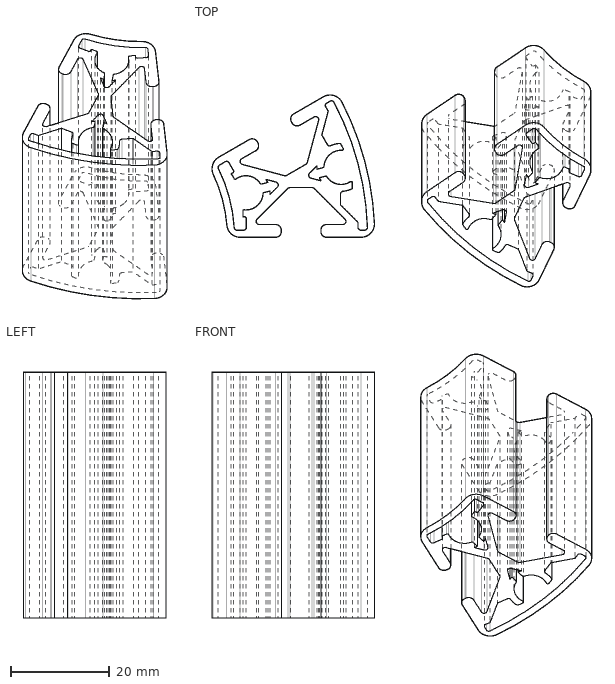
import cadquery as cq
import math

LENGTH = 50.0
SECTOR_ANGLE = 30.0
MIDDLE_ANGLE = SECTOR_ANGLE / 2
INNER_RADIUS = 30.0
OUTER_RADIUS = 60.0
MIDDLE_RADIUS = (INNER_RADIUS + OUTER_RADIUS) / 2
CORNER_RADIUS = 2.75
WALL = 1.5

SLOT_WIDTH = 8.0
LIP_THICKNESS = 2.65
LIP_ROUND = 1.2
CAVITY_DEPTH = 10.1
CAVITY_TOP_WIDTH = 5.0
CAVITY_FILLET = 0.6

CUP_OFFSET = 10.0
CUP_BORE_RADIUS = 3.45
CUP_OUTER_RADIUS = 4.9
CUP_GAP = 1.75
INNER_CUP_TIP_X = 33.15
OUTER_CUP_TIP_X = 55.45
CUP_EDGE_ROUND = 0.3
INNER_CUP_ROOT_FILLET = 0.3
OUTER_CUP_ROOT_FILLET = 0.5

NOTCH_OFFSET = 2.65
NOTCH_HALF_ANGLE = 30.0
NOTCH_FILLET = 0.6

INNER_CHAMBER_WALL_X = 33.85
OUTER_CHAMBER_WALL_X = 53.05
OUTER_CHAMBER_END_X = 56.6
OUTER_WEB_SHIFT = 2.05
CHAMBER_FILLET = 0.5

MIDDLE_SLOPE = math.tan(math.radians(MIDDLE_ANGLE))


def on_circle(radius, angle):
    """Point at a radius and an angle in degrees about the origin."""
    turn = math.radians(angle)
    return (radius * math.cos(turn), radius * math.sin(turn))


def across_middle(point):
    """Mirror image of a point in the middle line."""
    x, y = point
    return on_circle(math.hypot(x, y), SECTOR_ANGLE - math.degrees(math.atan2(y, x)))


def on_middle(x):
    """Point of the middle line at a given x."""
    return (x, x * MIDDLE_SLOPE)


def mirrored(solid):
    """Mirror image of a solid in the middle line."""
    return solid.mirror("XZ").rotate((0, 0, 0), (0, 0, 1), SECTOR_ANGLE)


def prism(points):
    return cq.Workplane("XY").polyline(points).close().extrude(LENGTH)


def upright_edges_at(points, reach=0.025):
    """Selector for the edges parallel to Z through the given points."""
    boxes = [
        cq.selectors.BoxSelector((x - reach, y - reach, 0), (x + reach, y + reach, LENGTH))
        for x, y in points
    ]
    selector = boxes[0]
    for box in boxes[1:]:
        selector = selector + box
    return selector


def make_body():
    return (
        cq.Workplane("XY")
        .moveTo(INNER_RADIUS, 0)
        .lineTo(OUTER_RADIUS, 0)
        .threePointArc(on_circle(OUTER_RADIUS, MIDDLE_ANGLE), on_circle(OUTER_RADIUS, SECTOR_ANGLE))
        .lineTo(*on_circle(INNER_RADIUS, SECTOR_ANGLE))
        .threePointArc(on_circle(INNER_RADIUS, MIDDLE_ANGLE), (INNER_RADIUS, 0))
        .close()
        .extrude(LENGTH)
        .edges("|Z")
        .fillet(CORNER_RADIUS)
    )


def cut_t_slot(body):
    """Cut the slot of the Y = 0 face, with 45-degree cavity sides and rounded lips."""
    half_slot = SLOT_WIDTH / 2
    half_top = CAVITY_TOP_WIDTH / 2
    half_cavity = half_top + CAVITY_DEPTH - LIP_THICKNESS
    half_outline = [
        (half_slot, 0),
        (half_slot, LIP_THICKNESS),
        (half_cavity, LIP_THICKNESS),
        (half_top, CAVITY_DEPTH),
    ]
    right = [(MIDDLE_RADIUS + x, y) for x, y in half_outline]
    left = [(MIDDLE_RADIUS - x, y) for x, y in half_outline]
    slot = prism(right + left[::-1])
    slot = slot.edges(upright_edges_at(right[2:] + left[2:])).fillet(CAVITY_FILLET)
    lip_edges = upright_edges_at(right[:2] + left[:2])
    return body.cut(slot).edges(lip_edges).fillet(LIP_ROUND)


def make_chamber(wall_radius, half_outline):
    """Chamber from its lower points, which run from the cylindrical wall to the middle line."""
    upper = [across_middle(point) for point in half_outline[:-1]]
    rounded = half_outline[:2] + upper[:2]
    return (
        cq.Workplane("XY")
        .polyline(half_outline + upper[::-1])
        .threePointArc(on_circle(wall_radius, MIDDLE_ANGLE), half_outline[0])
        .close()
        .extrude(LENGTH)
        .edges(upright_edges_at(rounded))
        .fillet(CHAMBER_FILLET)
    )


def make_inner_chamber():
    wall_radius = INNER_RADIUS + WALL
    return make_chamber(
        wall_radius,
        [
            (math.sqrt(wall_radius**2 - WALL**2), WALL),
            (INNER_CHAMBER_WALL_X, WALL),
            on_middle(INNER_CHAMBER_WALL_X),
        ],
    )


def make_outer_chamber():
    wall_radius = OUTER_RADIUS - WALL
    web_sum = MIDDLE_RADIUS + CAVITY_TOP_WIDTH / 2 + CAVITY_DEPTH + OUTER_WEB_SHIFT
    return make_chamber(
        wall_radius,
        [
            (math.sqrt(wall_radius**2 - WALL**2), WALL),
            (OUTER_CHAMBER_END_X, WALL),
            (OUTER_CHAMBER_END_X, web_sum - OUTER_CHAMBER_END_X),
            (OUTER_CHAMBER_WALL_X, web_sum - OUTER_CHAMBER_WALL_X),
            on_middle(OUTER_CHAMBER_WALL_X),
        ],
    )


def disc(centre, radius):
    return cq.Workplane("XY").center(*centre).circle(radius).extrude(LENGTH)


def make_notch(side):
    """V notch with its tip near the middle radius, opening toward a cup (side -1 in, +1 out)."""
    tip = MIDDLE_RADIUS + side * NOTCH_OFFSET
    mouth = MIDDLE_RADIUS + side * CUP_OFFSET
    half_mouth = (CUP_OFFSET - NOTCH_OFFSET) * math.tan(math.radians(NOTCH_HALF_ANGLE))
    notch = prism([(tip, 0), (mouth, half_mouth), (mouth, -half_mouth)])
    notch = notch.edges(upright_edges_at([(tip, 0)])).fillet(NOTCH_FILLET)
    return notch.rotate((0, 0, 0), (0, 0, 1), MIDDLE_ANGLE)


def below_centre(centre, radius, x):
    """Point at a given x on the lower half of a circle."""
    return (x, centre[1] - math.sqrt(radius**2 - (x - centre[0]) ** 2))


def cup_centre(side):
    """Centre of the inner (side -1) or outer (side +1) cup."""
    return on_circle(MIDDLE_RADIUS + side * CUP_OFFSET, MIDDLE_ANGLE)


def fillet_pairs(body, points, radius):
    """Fillet the upright edges at the given points and at their mirror images."""
    both = points + [across_middle(point) for point in points]
    return body.edges(upright_edges_at(both)).fillet(radius)


def round_cup_edges(body, side, tip_x):
    """Round the bore's two edges on each side of a cup: at the lug tip and at the gap."""
    half_gap = CUP_GAP / 2
    gap_along = MIDDLE_RADIUS + side * (CUP_OFFSET - math.sqrt(CUP_BORE_RADIUS**2 - half_gap**2))
    gap_skew = math.degrees(math.atan2(half_gap, gap_along))
    gap_edge = on_circle(math.hypot(gap_along, half_gap), MIDDLE_ANGLE - gap_skew)
    tip_edge = below_centre(cup_centre(side), CUP_BORE_RADIUS, tip_x)
    return fillet_pairs(body, [gap_edge, tip_edge], CUP_EDGE_ROUND)


def round_lug_roots(body, side, wall_x, radius):
    """Fillet the corners where the backs of a cup's lugs meet the chamber wall."""
    return fillet_pairs(body, [below_centre(cup_centre(side), CUP_OUTER_RADIUS, wall_x)], radius)


def round_outer_lug_tips(body):
    """Round the back of the outer cup's lug tips."""
    tip_edge = below_centre(cup_centre(1), CUP_OUTER_RADIUS, OUTER_CUP_TIP_X)
    return fillet_pairs(body, [tip_edge], CUP_EDGE_ROUND)


def add_cup(body, side, tip_x):
    """Add the two lugs of a cup and cut its bore, its gap and the notch behind it."""
    centre = cup_centre(side)
    outer = disc(centre, CUP_OUTER_RADIUS)
    far_x = centre[0] - side * CUP_OUTER_RADIUS
    below_middle = prism([(tip_x, 0), (far_x, 0), on_middle(far_x), on_middle(tip_x)])
    lug = outer.intersect(below_middle)
    gap = (
        cq.Workplane("XY")
        .center(MIDDLE_RADIUS + side * (CUP_OFFSET - CUP_OUTER_RADIUS / 2), 0)
        .rect(CUP_OUTER_RADIUS, CUP_GAP)
        .extrude(LENGTH)
        .rotate((0, 0, 0), (0, 0, 1), MIDDLE_ANGLE)
    )
    notch = make_notch(side).cut(outer)
    body = body.union(lug).union(mirrored(lug))
    body = body.cut(disc(centre, CUP_BORE_RADIUS)).cut(gap).cut(notch)
    return round_cup_edges(body, side, tip_x)


body = make_body()
body = cut_t_slot(body)
body = mirrored(cut_t_slot(mirrored(body)))
body = body.cut(make_inner_chamber()).cut(make_outer_chamber())
body = add_cup(body, -1, INNER_CUP_TIP_X)
body = add_cup(body, 1, OUTER_CUP_TIP_X)
body = round_lug_roots(body, -1, INNER_CHAMBER_WALL_X, INNER_CUP_ROOT_FILLET)
body = round_lug_roots(body, 1, OUTER_CHAMBER_WALL_X, OUTER_CUP_ROOT_FILLET)
result = round_outer_lug_tips(body)